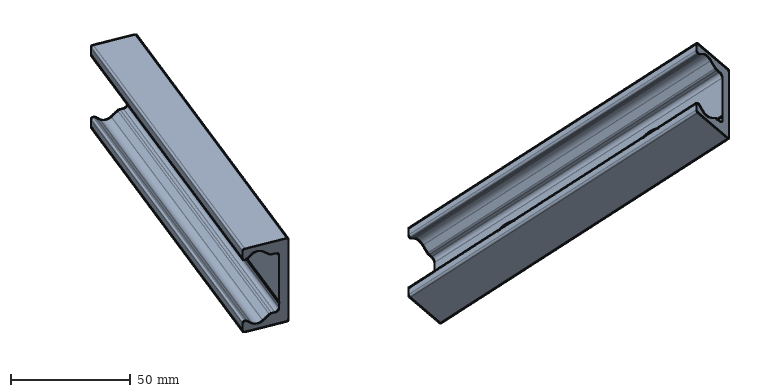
import cadquery as cq

LENGTH = 160.0
DEPTH = 21.0
HEIGHT = 43.0
HALF_HEIGHT = HEIGHT / 2
BACK_Y = DEPTH / 2
FRONT_Y = -DEPTH / 2

WEB_THICKNESS = 4.3
WEB_Y = BACK_Y - WEB_THICKNESS
SHELF_END_Y = BACK_Y - 8.3
SHELF_HALF_GAP = 15.2
GROOVE_Y = BACK_Y - 14.4
GROOVE_APEX_HALF_GAP = 19.8
LIP_START_Y = BACK_Y - 19.4
LIP_HALF_GAP = 15.7

OUTER_RADIUS = 1.0
WEB_RADIUS = 2.0
SHELF_RADIUS = 1.6
GROOVE_RADIUS = 4.2
LIP_RADIUS = 0.8

HOLE_SPACING = LENGTH / 2
HOLE_DIAMETER = 8.5
COUNTERSINK_DIAMETER = 17.3

SCRIBE_Z = -10.7
SCRIBE_WIDTH = 0.5
SCRIBE_DEPTH = 0.2


def round_edges(body, y, half_gap, radius):
    """Round the two lengthwise edges at (y, +half_gap) and (y, -half_gap)."""
    edges = [
        body.edges(cq.NearestToPointSelector((0, y, z))).val()
        for z in (half_gap, -half_gap)
    ]
    return body.newObject(edges).fillet(radius)


def make_channel():
    upper_inside = [
        (FRONT_Y, LIP_HALF_GAP),
        (LIP_START_Y, LIP_HALF_GAP),
        (GROOVE_Y, GROOVE_APEX_HALF_GAP),
        (SHELF_END_Y, SHELF_HALF_GAP),
        (WEB_Y, SHELF_HALF_GAP),
    ]
    lower_inside = [(y, -z) for y, z in reversed(upper_inside)]
    outside = [
        (FRONT_Y, -HALF_HEIGHT),
        (BACK_Y, -HALF_HEIGHT),
        (BACK_Y, HALF_HEIGHT),
        (FRONT_Y, HALF_HEIGHT),
    ]
    body = (
        cq.Workplane("YZ")
        .polyline(upper_inside + lower_inside + outside)
        .close()
        .extrude(LENGTH / 2, both=True)
    )
    rounded_edges = [
        (GROOVE_Y, GROOVE_APEX_HALF_GAP, GROOVE_RADIUS),
        (SHELF_END_Y, SHELF_HALF_GAP, SHELF_RADIUS),
        (WEB_Y, SHELF_HALF_GAP, WEB_RADIUS),
        (LIP_START_Y, LIP_HALF_GAP, LIP_RADIUS),
        (FRONT_Y, LIP_HALF_GAP, OUTER_RADIUS),
        (FRONT_Y, HALF_HEIGHT, OUTER_RADIUS),
        (BACK_Y, HALF_HEIGHT, OUTER_RADIUS),
    ]
    for y, half_gap, radius in rounded_edges:
        body = round_edges(body, y, half_gap, radius)
    return body


def make_hole(x):
    """Cone through the full web, narrowing towards the back."""
    cone = cq.Solid.makeCone(
        COUNTERSINK_DIAMETER / 2,
        HOLE_DIAMETER / 2,
        WEB_THICKNESS,
        pnt=cq.Vector(x, WEB_Y, 0),
        dir=cq.Vector(0, 1, 0),
    )
    return cq.Workplane(cone)


def make_scribe_line():
    return (
        cq.Workplane("YZ")
        .polyline([
            (WEB_Y, SCRIBE_Z - SCRIBE_WIDTH / 2),
            (WEB_Y + SCRIBE_DEPTH, SCRIBE_Z),
            (WEB_Y, SCRIBE_Z + SCRIBE_WIDTH / 2),
        ])
        .close()
        .extrude(LENGTH / 2, both=True)
    )


result = make_channel().cut(make_scribe_line())
for hole_x in (-HOLE_SPACING / 2, HOLE_SPACING / 2):
    result = result.cut(make_hole(hole_x))